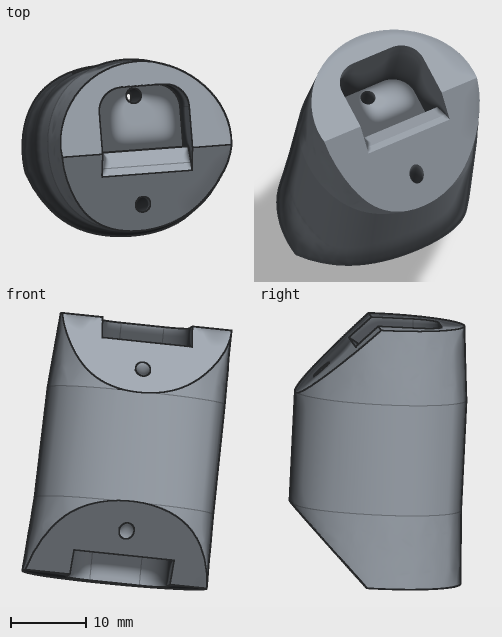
import cadquery as cq
import math

BODY_ORIGIN = (0.55, -1.33, 0.2)
LEAN_X = 5.7
LEAN_Y = 3.2
RIDGE_TURN = 4.3

END_HEIGHT = 17.25
RING_HEIGHT = 7.38
SLOPE_ANGLE = 45

SECTIONS = [
    (-END_HEIGHT, 12.6, 11.73, 13.4, 9.9, (1.0, 1.1, 1.0, 1.0)),
    (-RING_HEIGHT, 12.02, 11.6, 12.95, 9.95, (1.0, 1.1, 1.02, 1.02)),
    (RING_HEIGHT, 11.88, 11.7, 12.85, 10.03, (1.0, 1.06, 1.02, 0.98)),
    (END_HEIGHT, 11.1, 11.6, 12.0, 9.77, (1.0, 1.03, 0.92, 0.92)),
]

POCKET_LEAN = 3.2
BEND_REACH = 1.75
BEND_DEPTH = 3.55
FLARE_FOOT_BACK = 0.45
FLARE_FOOT_DEPTH = 5.45
TOP_POCKET_X = 0.35
TOP_POCKET_WIDTH = 12.05
TOP_POCKET_BACK = 8.7
TOP_LIP_REACH = 2.88
TOP_POCKET_RADIUS = 3.17
TOP_POCKET_DEPTH = 12.05
BOTTOM_POCKET_X = 0.07
BOTTOM_POCKET_WIDTH = 13.42
BOTTOM_POCKET_BACK = 9.48
BOTTOM_LIP_REACH = 3.1
BOTTOM_POCKET_RADIUS = 3.4
BOTTOM_POCKET_DEPTH = 9.22

HOLE_DIAMETER = 2.0
FRONT_HOLE_X = -0.15
FRONT_HOLE_Y = -6.45
FRONT_HOLE_LEAN = 1.5
BACK_HOLE_X = 0.35
BACK_HOLE_Y = 8.25
BACK_HOLE_LEAN = 2.5
HOLE_OVERRUN = 0.1

CLEARANCE = 7.38


def make_section(left, right, back, front, fullness):
    """Egg-shaped closed outline through its four extremes and four corner points."""
    reach_x = (right, left, left, right)
    reach_y = (back, back, -front, -front)
    extremes = [(right, 0), (0, back), (-left, 0), (0, -front)]
    diagonal = math.sqrt(0.5)
    points = []
    for quarter in range(4):
        side = 1 if quarter in (0, 3) else -1
        points.append(extremes[quarter])
        corner = diagonal * fullness[quarter]
        points.append((side * reach_x[quarter] * corner, reach_y[quarter] * corner))
    return points


def make_body():
    body = cq.Workplane("XY")
    last_height = 0.0
    for height, left, right, back, front, fullness in SECTIONS:
        body = body.workplane(offset=height - last_height)
        body = body.spline(make_section(left, right, back, front, fullness), periodic=True).close()
        last_height = height
    return body.loft(ruled=True)


def make_slope_cutter(end):
    """Wedge that cuts the front of one end; end is +1 for the top and -1 for the bottom."""
    reach = END_HEIGHT
    drop = reach * math.tan(math.radians(SLOPE_ANGLE))
    ridge = (0, end * END_HEIGHT)
    return (
        cq.Workplane("YZ")
        .polyline([ridge, (-reach, end * (END_HEIGHT - drop)), (-reach, end * END_HEIGHT)])
        .close()
        .extrude(reach, both=True)
    )


def make_pocket_cutter(end, center_x, width, back, lip_reach, radius, depth):
    """Pocket with rounded back corners and a front wall that flares out to the lip."""
    lean = math.tan(math.radians(POCKET_LEAN))
    foot_to_floor = depth - FLARE_FOOT_DEPTH
    profile = [
        (back + lean * depth, depth),
        (FLARE_FOOT_BACK + lean * foot_to_floor, depth),
        (FLARE_FOOT_BACK, FLARE_FOOT_DEPTH),
        (-BEND_REACH, BEND_DEPTH),
        (-lip_reach, lip_reach),
        (-lip_reach, -CLEARANCE),
        (back - lean * CLEARANCE, -CLEARANCE),
    ]
    return (
        cq.Workplane("YZ", origin=(center_x, 0, 0))
        .polyline([(y, end * (END_HEIGHT - level)) for y, level in profile])
        .close()
        .extrude(width / 2, both=True)
        .faces(">Y")
        .edges("not |X")
        .fillet(radius)
    )


def make_hole(x, y, lean, bottom, top):
    """Slanted round hole from bottom to top that crosses mid-length at (x, y)."""
    slant = math.radians(lean)
    axis = cq.Plane(origin=(x, y, 0), normal=(0, -math.sin(slant), math.cos(slant)))
    return (
        cq.Workplane(axis)
        .workplane(offset=bottom - HOLE_OVERRUN)
        .circle(HOLE_DIAMETER / 2)
        .extrude(top - bottom + 2 * HOLE_OVERRUN)
    )


def make_tilted_plane():
    axis = cq.Vector(math.tan(math.radians(LEAN_X)), math.tan(math.radians(LEAN_Y)), 1)
    turn = math.radians(RIDGE_TURN)
    ridge = cq.Vector(math.cos(turn), math.sin(turn), 0)
    ridge.z = -(ridge.x * axis.x + ridge.y * axis.y)
    return cq.Plane(origin=BODY_ORIGIN, xDir=ridge, normal=axis)


part = make_body()
part = part.cut(make_slope_cutter(1)).cut(make_slope_cutter(-1))
part = part.cut(
    make_pocket_cutter(
        end=1,
        center_x=TOP_POCKET_X,
        width=TOP_POCKET_WIDTH,
        back=TOP_POCKET_BACK,
        lip_reach=TOP_LIP_REACH,
        radius=TOP_POCKET_RADIUS,
        depth=TOP_POCKET_DEPTH,
    )
)
part = part.cut(
    make_pocket_cutter(
        end=-1,
        center_x=BOTTOM_POCKET_X,
        width=BOTTOM_POCKET_WIDTH,
        back=BOTTOM_POCKET_BACK,
        lip_reach=BOTTOM_LIP_REACH,
        radius=BOTTOM_POCKET_RADIUS,
        depth=BOTTOM_POCKET_DEPTH,
    )
)
part = part.cut(make_hole(FRONT_HOLE_X, FRONT_HOLE_Y, FRONT_HOLE_LEAN, -END_HEIGHT, END_HEIGHT))
bottom_floor = BOTTOM_POCKET_DEPTH - END_HEIGHT
top_floor = END_HEIGHT - TOP_POCKET_DEPTH
part = part.cut(make_hole(BACK_HOLE_X, BACK_HOLE_Y, BACK_HOLE_LEAN, bottom_floor, top_floor))

result = cq.Workplane(obj=part.val().moved(cq.Location(make_tilted_plane())))